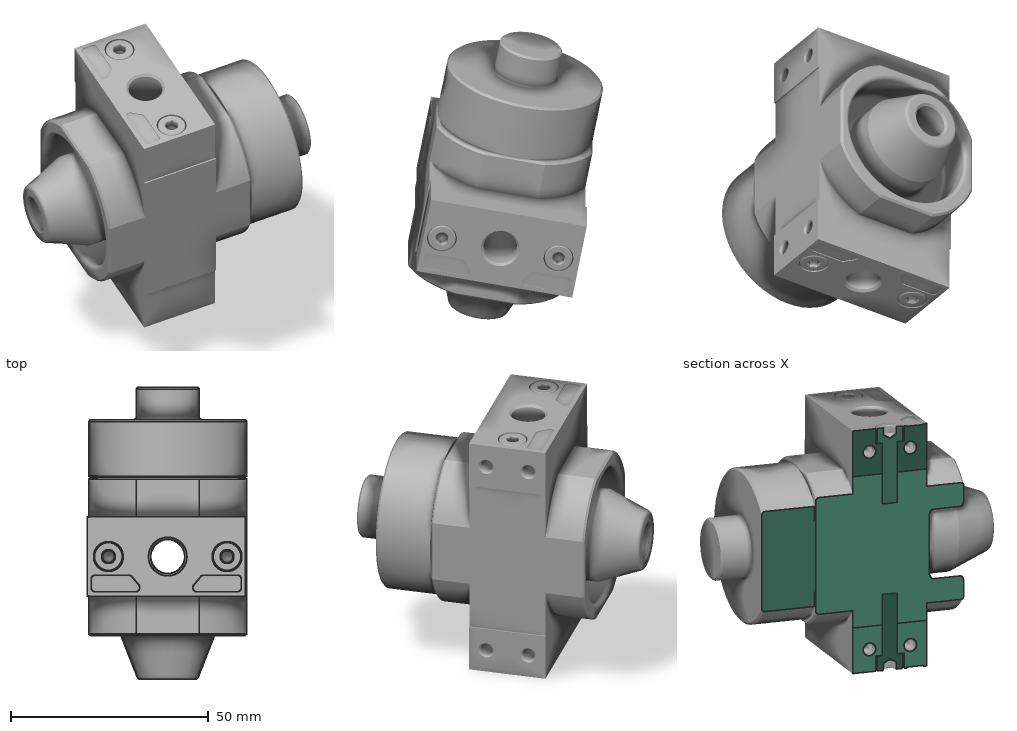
import cadquery as cq
import math


total_height = 64.0
width = 40.0
block_length = width / 2
housing_half_length = width / 2
round_diameter = 43.0
end_chamfer = 0.5

cavity_diameter = 35.0
cavity_depth = 9.4
cavity_fillet = 1.0

nozzle_diameter = 23.7
nozzle_tip_diameter = 15.0
nozzle_tip_y = -31.0
cone_start_y = -19.85
nozzle_bore_depth = 20.0

port_diameter = 8.55
port_chamfer = 0.6

cap_gap = 0.3
neck_diameter = 35.4
cap_rear_y = 34.6
stub_diameter = 16.0
stub_end_y = 42.8
stub_fillet = 0.5

block_height = (total_height - width) / 2
block_shift = -0.4
side_hole_diameter = 3.25
side_hole_chamfer = 0.4
side_hole_spacing = 11.0
side_hole_depth = 8.0
tip_angle = 118

label_margin_x = 1.0
label_margin_y = 1.1
label_height = 4.2
label_long_side = 13.4
label_short_side = 9.95
label_fillet = 1.0
label_depth = 0.2

screw_spacing = 29.95
screw_diameter = 4.0
screw_length = 16.0
head_diameter = 7.0
head_height = 4.0
head_fillet = 0.4
counterbore_diameter = 7.5
socket_flats = 3.0
socket_depth = 2.0
hex_half_angle = 30

selection_margin = 0.1
full_turn = 360

half_width = width / 2
block_top = half_width + block_height
socket_corners = socket_flats / math.cos(math.radians(hex_half_angle))
screw_positions = [(side * screw_spacing / 2, 0) for side in (-1, 1)]


def cylinder_y(diameter, start, end):
    """Cylinder on the Y axis between two Y positions."""
    plane = cq.Workplane("XZ", origin=(0, start, 0))
    return plane.circle(diameter / 2).extrude(start - end)


def edges_within(diameter, y):
    """Selector for the edges at a Y position that lie within a diameter around the Y axis."""
    reach = diameter / 2 + selection_margin
    low_corner = (-reach, y - selection_margin, -reach)
    high_corner = (reach, y + selection_margin, reach)
    return cq.selectors.BoxSelector(low_corner, high_corner, boundingbox=True)


def drill(diameter, depth):
    """Drill with its mouth at the origin, pointing along -Z, with a conical end."""
    radius = diameter / 2
    point = radius / math.tan(math.radians(tip_angle / 2))
    profile = [(0, 0), (radius, 0), (radius, -depth), (0, -depth - point)]
    return cq.Workplane("XZ").polyline(profile).close().revolve(full_turn, (0, 0), (0, 1))


def countersink(diameter, chamfer):
    """45 degree cone that chamfers a hole mouth at the origin, pointing along -Z."""
    radius = diameter / 2
    profile = [(0, 0), (radius + chamfer, 0), (radius, -chamfer), (0, -chamfer)]
    return cq.Workplane("XZ").polyline(profile).close().revolve(full_turn, (0, 0), (0, 1))


def make_nozzle():
    """Round foot and cone of the nozzle, reaching down to the cavity floor."""
    floor_y = cavity_depth - housing_half_length
    profile = [
        (0, floor_y),
        (nozzle_diameter / 2, floor_y),
        (nozzle_diameter / 2, cone_start_y),
        (nozzle_tip_diameter / 2, nozzle_tip_y),
        (0, nozzle_tip_y),
    ]
    nozzle = cq.Workplane("XY").polyline(profile).close().revolve(full_turn, (0, 0), (0, 1))
    return nozzle.faces("<Y").edges().fillet(cavity_fillet)


def make_housing():
    """Square middle with rounded ends, front cavity, nozzle, ports and screw holes."""
    ends = cq.Workplane("XY").box(width, 2 * housing_half_length, width)
    ends = ends.intersect(cylinder_y(round_diameter, -housing_half_length, housing_half_length))
    ends = ends.faces("<Y or >Y").chamfer(end_chamfer)
    housing = ends.union(cq.Workplane("XY").box(width, block_length, width))

    floor_y = cavity_depth - housing_half_length
    housing = housing.cut(cylinder_y(cavity_diameter, -housing_half_length, floor_y))
    mouth_edge = edges_within(cavity_diameter, -housing_half_length)
    housing = housing.edges("%CIRCLE").edges(mouth_edge).fillet(cavity_fillet)
    housing = housing.union(make_nozzle())
    floor_edges = edges_within(cavity_diameter, floor_y)
    housing = housing.edges("%CIRCLE").edges(floor_edges).fillet(cavity_fillet)

    bore = cylinder_y(port_diameter, nozzle_tip_y, nozzle_tip_y + nozzle_bore_depth)
    mouth = countersink(port_diameter, port_chamfer).rotate((0, 0, 0), (1, 0, 0), 90)
    housing = housing.cut(bore).cut(mouth.translate((0, nozzle_tip_y, 0)))

    housing = housing.cut(cq.Workplane("XY").circle(port_diameter / 2).extrude(width, both=True))

    thread_depth = screw_length - (block_height - head_height)
    for side in (-1, 1):
        threads = cq.Workplane("XY", origin=(0, 0, side * half_width)).pushPoints(screw_positions)
        housing = housing.cut(threads.circle(screw_diameter / 2).extrude(-side * thread_depth))
    return housing


def make_cap():
    """Round rear cap with its thin neck and the stub."""
    cap_front_y = housing_half_length + cap_gap
    cap = cylinder_y(width, cap_front_y, cap_rear_y)
    cap = cap.faces(">Y").edges().chamfer(end_chamfer)
    stub = cylinder_y(stub_diameter, cap_rear_y, stub_end_y).faces(">Y").chamfer(end_chamfer)
    cap = cap.union(stub)
    stub_root = edges_within(stub_diameter, cap_rear_y)
    cap = cap.edges("%CIRCLE").edges(stub_root).fillet(stub_fillet)
    return cap.union(cylinder_y(neck_diameter, housing_half_length, cap_front_y))


def label_recess():
    """Shallow recess for the label at the -X end of the block top."""
    left = -half_width + label_margin_x
    front = -block_length / 2 + label_margin_y
    outline = [
        (left, front),
        (left + label_long_side, front),
        (left + label_short_side, front + label_height),
        (left, front + label_height),
    ]
    label = cq.Workplane("XY").polyline(outline).close().extrude(-label_depth)
    return label.edges("|Z").fillet(label_fillet).translate((block_shift, 0, block_top))


def make_top_block():
    """Port block on the upper side of the housing."""
    block = cq.Workplane("XY").box(width, block_length, block_height, centered=(True, True, False))
    block = block.translate((block_shift, 0, half_width))

    block = block.cut(cq.Workplane("XY").circle(port_diameter / 2).extrude(block_top))
    block = block.cut(countersink(port_diameter, port_chamfer).translate((0, 0, block_top)))

    holes = cq.Workplane("XY").pushPoints(screw_positions)
    block = block.cut(holes.circle(screw_diameter / 2).extrude(block_top))
    heads = cq.Workplane("XY", origin=(0, 0, block_top)).pushPoints(screw_positions)
    block = block.cut(heads.circle(counterbore_diameter / 2).extrude(-head_height))

    side_hole = drill(side_hole_diameter, side_hole_depth)
    side_hole = side_hole.union(countersink(side_hole_diameter, side_hole_chamfer))
    side_hole = side_hole.rotate((0, 0, 0), (0, 1, 0), -90)
    block_left = block_shift - half_width
    hole_z = half_width + block_height / 2
    for side in (-1, 1):
        position = (block_left, side * side_hole_spacing / 2, hole_z)
        block = block.cut(side_hole.translate(position))

    label = label_recess()
    return block.cut(label).cut(label.mirror("YZ", (block_shift, 0, 0)))


def make_screw():
    """Socket head screw pointing along -Z, its head flush with the block top."""
    screw = cq.Workplane("XY").circle(head_diameter / 2).extrude(-head_height)
    screw = screw.faces(">Z").edges().fillet(head_fillet)
    screw = screw.faces("<Z").workplane().circle(screw_diameter / 2).extrude(screw_length)
    socket = cq.Workplane("XY").polygon(6, socket_corners).extrude(-socket_depth)
    screw = screw.cut(socket.rotate((0, 0, 0), (0, 0, 1), hex_half_angle))
    screw = screw.cut(drill(socket_flats, socket_depth))
    socket_chamfer = (socket_corners - socket_flats) / 2
    screw = screw.cut(countersink(socket_flats, socket_chamfer))
    return screw.translate((0, 0, block_top))


housing = make_housing()
cap = make_cap()
top_block = make_top_block()
bottom_block = top_block.mirror("XY")

screws = []
for x, y in screw_positions:
    top_screw = make_screw().translate((x, y, 0))
    screws.append(top_screw.val())
    screws.append(top_screw.mirror("XY").val())

result = cq.Compound.makeCompound(
    [housing.val(), cap.val(), top_block.val(), bottom_block.val(), *screws]
)